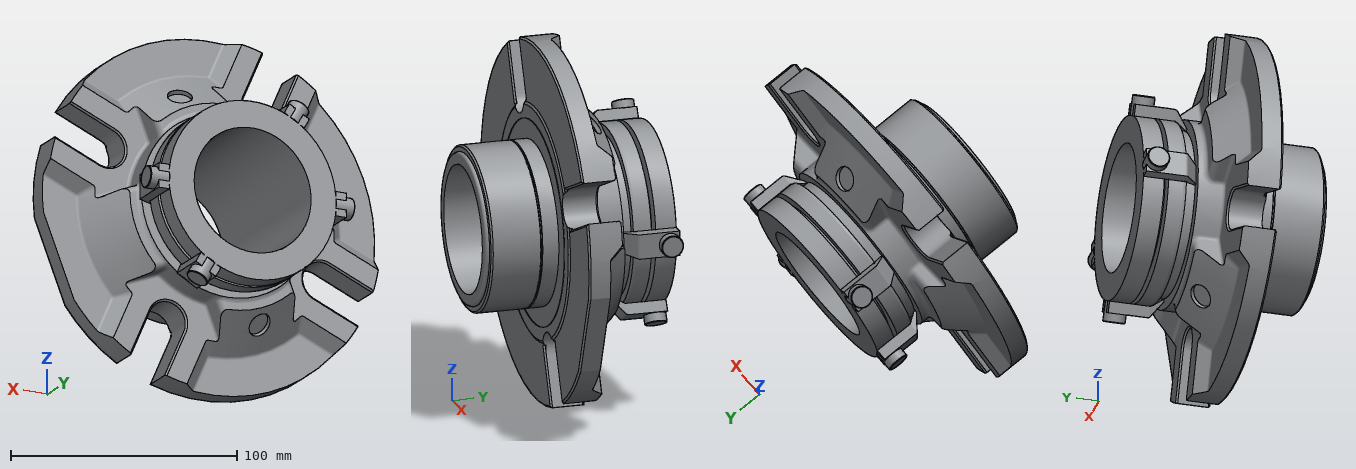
import cadquery as cq
import math


flange_radius = 82.4
flange_edge_chamfer = 0.8
blank_size = 3 * flange_radius
ledge_y = 9.9
pad_y = 15.7
flat_distance = 79.8
face_radius = 53.9
face_height = 0.7
face_bevel = 1.2
gland_bore_radius = 93.1 / 2
gland_recess = 0.3

slot_angle = 23.5
slot_width = 18.1
slot_end_radius = 49.0
slot_chamfer = 0.8
pad_half_width = 20.0

boss_angle = slot_angle + 45
flat_angle = boss_angle - 90
cone_radius_at_pad = 59.3
boss_y = 27.2
low_boss_y = 23.9
boss_tops = (boss_y, low_boss_y, boss_y, boss_y)
boss_half_width = 19.8
boss_top_fillet = 3.3
boss_side_fillet = 2.5
floor_fillet = 1.6
floor_overlap = 0.08
pad_corner_fillet = 2.5
ledge_fillet = 2.0
port_diameter = 11.0
port_depth = 2.1
port_y = 21.0

bore_radius = 58.0 / 2
nose_radius = 69.0 / 2
nose_y = -33.1
nose_fillet = 1.5
sleeve_radius = 75.0 / 2
sleeve_y = -31.5
sleeve_chamfer = 0.8
groove_radius = 73.2 / 2
groove_y = -8.5
groove_width = 0.8
collar_radius = 42.5
collar_y = 28.2
ring_radius = 82.9 / 2
inner_ring_y = 33.1
inner_ring_end_y = 41.4
inner_ring_bevel = 0.3
inner_ring_bevel_length = 1.3
gap_radius = 70.7 / 2
outer_ring_y = 43.3
back_y = 52.9

clip_angles = (0, 120, 180, 300)
clip_width = 11.4
clip_tip_width = 9.2
clip_outer = 46.5
clip_inner = ring_radius - 0.2
clip_bend_y = 34.1
clip_bend_fillet = 1.6
clip_tip_outer = 38.5
clip_tip_inner = sleeve_radius - 0.2
screw_diameter = 10.0
screw_overhang = 0.5
screw_y = back_y + screw_overhang - screw_diameter / 2
screw_outer = 50.6
screw_chamfer = 0.3


def cylinder(radius, y_start, y_end):
    return cq.Workplane("XZ", origin=(0, y_start, 0)).circle(radius).extrude(y_start - y_end)


def cone(y_start, y_end):
    """Part of the 45 degree cone that all bosses share."""
    radius_start = cone_radius_at_pad + pad_y - y_start
    radius_end = cone_radius_at_pad + pad_y - y_end
    outline = [(0, y_start), (radius_start, y_start), (radius_end, y_end), (0, y_end)]
    return cq.Workplane("XY").polyline(outline).close().revolve(360, (0, 0), (0, 1))


def turned_to(shape, angle):
    """Swing a shape built along +X to the given angle from +X towards +Z."""
    return shape.rotate((0, 0, 0), (0, 1, 0), -angle)


def radial_bar(y_start, y_end, half_start, half_end):
    """Bar running out along +X with sloping sides."""
    section = [(y_start, -half_start), (y_end, -half_end), (y_end, half_end), (y_start, half_start)]
    return cq.Workplane("YZ").polyline(section).close().extrude(blank_size / 2)


def edges_between(body, y_low, y_high, max_radius):
    """Edges that span exactly from y_low to y_high and have their centre within max_radius of the axis."""
    tolerance = 0.002

    def matches(edge):
        box = edge.BoundingBox()
        center = edge.Center()
        spans = abs(box.ymin - y_low) < tolerance and abs(box.ymax - y_high) < tolerance
        return spans and math.hypot(center.x, center.z) < max_radius

    return body.newObject([edge for edge in body.edges().vals() if matches(edge)])


def make_lower_flange():
    """Ledge, pads and cone foot, blended on an oversized blank and then trimmed to the rim."""
    body = cq.Workplane("XZ").rect(blank_size, blank_size).extrude(-ledge_y)
    body = body.union(cone(ledge_y, pad_y))
    pad = radial_bar(ledge_y, pad_y, pad_half_width + pad_y - ledge_y, pad_half_width)
    for quarter in range(4):
        body = body.union(turned_to(pad, 90 * quarter))
    body = body.clean()
    body = edges_between(body, ledge_y, pad_y, flange_radius).fillet(pad_corner_fillet)
    body = edges_between(body, ledge_y, ledge_y, 0.95 * blank_size / 2).fillet(ledge_fillet)
    return turned_to(body, slot_angle).intersect(cylinder(flange_radius, 0, pad_y))


def make_boss_bar(top_y):
    bar = radial_bar(pad_y, top_y, boss_half_width, boss_half_width)
    bar = bar.edges("|X and >Y").fillet(boss_top_fillet)
    return bar.intersect(cylinder(0.9 * flange_radius, 0, back_y))


def make_upper_flange():
    """Collar and bosses, blended into the floor and trimmed to the cone."""
    floor = cylinder(flange_radius, ledge_y, pad_y)
    body = turned_to(floor.union(cylinder(collar_radius, ledge_y, collar_y)), slot_angle)
    for quarter, top_y in enumerate(boss_tops):
        body = body.union(turned_to(make_boss_bar(top_y), boss_angle + 90 * quarter))
    for top_y in set(boss_tops):
        body = edges_between(body, pad_y, top_y - boss_top_fillet, collar_radius + 1.6).fillet(boss_side_fillet)
    body = edges_between(body, pad_y, pad_y, 0.85 * flange_radius).fillet(floor_fillet)
    return body.intersect(cone(pad_y - floor_overlap, collar_y))


def make_port():
    """Shallow round hole square to the 45 degree boss face, along +X."""
    radius = cone_radius_at_pad + pad_y - port_y
    face = cq.Plane(origin=(radius, port_y, 0), xDir=(0, 0, 1), normal=(1, 1, 0))
    reach = port_diameter
    return cq.Workplane(face).workplane(offset=-port_depth).circle(port_diameter / 2).extrude(port_depth + reach)


def make_slot():
    """Open slot along +X with a round inner end and bevelled edges."""
    end_center = slot_end_radius + slot_width / 2
    length = 2 * flange_radius
    middle = end_center + length / 2

    def outline(y, margin):
        plane = cq.Workplane("XZ", origin=(middle, y, 0))
        return plane.slot2D(length + slot_width + 2 * margin, slot_width + 2 * margin)

    slot = outline(-face_height, 0).extrude(-collar_y)
    back_bevel = outline(pad_y, slot_chamfer).extrude(slot_chamfer, taper=45)
    half = slot_width / 2
    front_bevel = radial_bar(0, slot_chamfer, half + slot_chamfer, half).translate((face_radius, 0, 0))
    return slot.union(back_bevel).union(front_bevel)


def make_raised_face():
    rim_radius = face_radius - face_bevel
    outline = [(0, 0), (face_radius, 0), (rim_radius, -face_height), (0, -face_height)]
    return cq.Workplane("XY").polyline(outline).close().revolve(360, (0, 0), (0, 1))


def make_flange():
    flange = make_lower_flange().union(make_upper_flange())
    flat_cut = cq.Workplane("XY").box(flange_radius, 4 * pad_y, 2 * flange_radius)
    flat_cut = flat_cut.translate((flat_distance + flange_radius / 2, 0, 0))
    flange = flange.cut(turned_to(flat_cut, flat_angle))
    flange = flange.faces("<Y").edges().chamfer(flange_edge_chamfer)
    flange = flange.union(make_raised_face())
    flange = flange.cut(cylinder(gland_bore_radius, -face_height, gland_recess - face_height))
    for quarter in range(4):
        flange = flange.cut(turned_to(make_slot(), slot_angle + 90 * quarter))
    for opposite in (0, 180):
        flange = flange.cut(turned_to(make_port(), boss_angle + opposite))
    return flange


def make_sleeve():
    sleeve = cylinder(sleeve_radius, sleeve_y, back_y).faces("<Y").edges().chamfer(sleeve_chamfer)
    nose = cylinder(nose_radius, nose_y, 0).faces("<Y").edges().fillet(nose_fillet)
    sleeve = sleeve.union(nose)
    groove = cylinder(ring_radius, groove_y, groove_y + groove_width)
    sleeve = sleeve.cut(groove.cut(cylinder(groove_radius, nose_y, back_y)))
    gap = cylinder(ring_radius, inner_ring_end_y, outer_ring_y)
    sleeve = sleeve.cut(gap.cut(cylinder(gap_radius, nose_y, back_y)))
    inner_ring = cylinder(ring_radius, inner_ring_y, inner_ring_end_y)
    front_edge = inner_ring.faces("<Y").edges()
    inner_ring = front_edge.chamfer(inner_ring_bevel_length, inner_ring_bevel)
    sleeve = sleeve.union(inner_ring)
    return sleeve.union(cylinder(ring_radius, outer_ring_y, back_y))


def make_clip():
    """Bent setting clip with its screw, along +X."""
    side = [
        (clip_inner, back_y),
        (clip_outer, back_y),
        (clip_outer, clip_bend_y),
        (clip_tip_outer, collar_y),
        (clip_tip_inner, collar_y),
        (clip_inner, clip_bend_y),
    ]
    leg = cq.Workplane("XY").polyline(side).close().extrude(clip_width / 2, both=True)
    bend = cq.selectors.NearestToPointSelector((clip_outer, clip_bend_y, 0))
    leg = leg.edges("|Z").edges(bend).fillet(clip_bend_fillet)
    half = clip_width / 2
    half_tip = clip_tip_width / 2
    front = [
        (back_y, -half),
        (clip_bend_y, -half),
        (collar_y, -half_tip),
        (collar_y, half_tip),
        (clip_bend_y, half),
        (back_y, half),
    ]
    leg = leg.intersect(cq.Workplane("YZ").polyline(front).close().extrude(clip_outer))
    screw = cq.Workplane("YZ", origin=(clip_inner, screw_y, 0)).circle(screw_diameter / 2)
    screw = screw.extrude(screw_outer - clip_inner).faces(">X").edges().chamfer(screw_chamfer)
    return leg.union(screw)


result = make_flange().union(make_sleeve())
for clip_angle in clip_angles:
    result = result.union(turned_to(make_clip(), clip_angle))
result = result.cut(cylinder(bore_radius, nose_y, back_y))